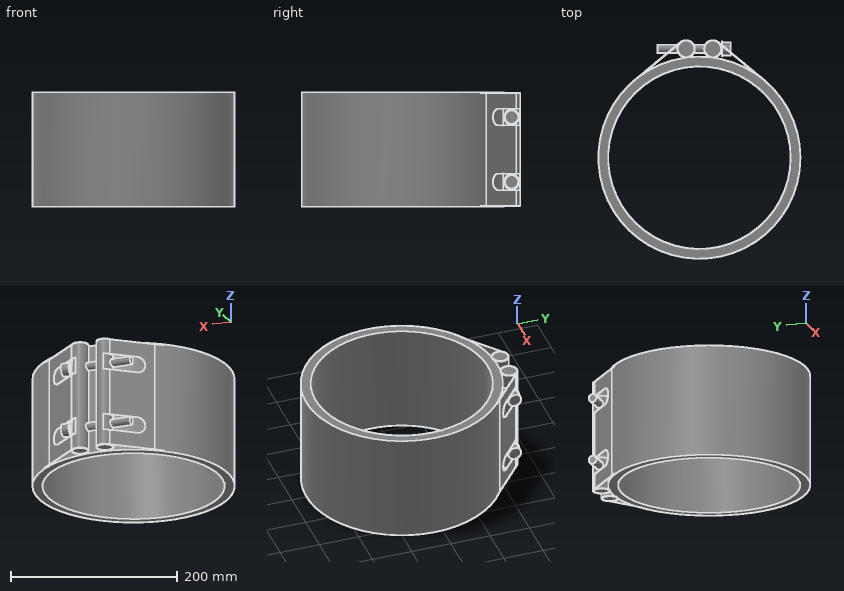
import cadquery as cq
import math

RING_OUTER_RADIUS = 243.3 / 2
RING_INNER_RADIUS = 219.0 / 2
RING_HEIGHT = 138.0
OVERALL_DEPTH = 263.0

PIN_RADIUS = 20.0 / 2
PIN_HEIGHT = 136.8
PIN_OFFSET = 16.0
STRAP_THICKNESS = 0.5
STRAP_HEIGHT = 135.5
WRAP_RADIUS = PIN_RADIUS + STRAP_THICKNESS
PIN_Y = OVERALL_DEPTH - RING_OUTER_RADIUS - WRAP_RADIUS

SLOT_WIDTH = 20.0
SLOT_ABOVE_TANGENT = 4.7
SLOT_TIP_Y = 108.5

BOLT_SPACING = 77.8
BOLT_RADIUS = 10.0 / 2
BOLT_START_X = -50.5
WASHER_RADIUS = 18.0 / 2
WASHER_START_X = PIN_OFFSET + WRAP_RADIUS
WASHER_THICKNESS = 1.0
HEAD_RADIUS = 16.0 / 2
HEAD_LENGTH = 10.3

pin_distance = math.hypot(PIN_OFFSET, PIN_Y)
strap_tilt = math.atan2(PIN_OFFSET, PIN_Y) + math.acos((RING_OUTER_RADIUS - WRAP_RADIUS) / pin_distance)
NORMAL = cq.Vector(math.sin(strap_tilt), math.cos(strap_tilt), 0)
ALONG = cq.Vector(-math.cos(strap_tilt), math.sin(strap_tilt), 0)
RING_TANGENT = NORMAL * RING_OUTER_RADIUS
PIN_TANGENT = cq.Vector(PIN_OFFSET, PIN_Y, 0) + NORMAL * WRAP_RADIUS


def upright_cylinder(x, y, radius, height):
    """Vertical cylinder centred on the mid-height plane."""
    return cq.Workplane("XY").center(x, y).circle(radius).extrude(height / 2, both=True)


def strap_slot(z):
    """Cutter across the strap: rounded at the ring end, square at the pin end."""
    radius = SLOT_WIDTH / 2
    top = SLOT_ABOVE_TANGENT
    tip = (SLOT_TIP_Y - PIN_TANGENT.y) / ALONG.y
    round_start = tip + radius
    depth = 2 * WRAP_RADIUS
    plane = cq.Plane(origin=PIN_TANGENT + cq.Vector(0, 0, z), xDir=ALONG, normal=NORMAL)
    return (
        cq.Workplane(plane)
        .moveTo(top, -radius)
        .lineTo(round_start, -radius)
        .threePointArc((tip, 0), (round_start, radius))
        .lineTo(top, radius)
        .close()
        .extrude(depth, both=True)
    )


def strap_end():
    """Strap on the +X side: flat run off the ring plus the wrap around the pin."""
    inward = NORMAL * -STRAP_THICKNESS
    corners = [RING_TANGENT, PIN_TANGENT, PIN_TANGENT + inward, RING_TANGENT + inward]
    flat = (
        cq.Workplane("XY")
        .polyline([(p.x, p.y) for p in corners])
        .close()
        .extrude(STRAP_HEIGHT / 2, both=True)
    )
    strap = flat.union(upright_cylinder(PIN_OFFSET, PIN_Y, WRAP_RADIUS, STRAP_HEIGHT))
    strap = strap.cut(upright_cylinder(PIN_OFFSET, PIN_Y, PIN_RADIUS, STRAP_HEIGHT))
    for z in (-BOLT_SPACING / 2, BOLT_SPACING / 2):
        strap = strap.cut(strap_slot(z))
    return strap


def bolt(z):
    """Bolt with shank, washer and round head, stacked along +X."""
    def section(start_x, radius, length):
        plane = cq.Plane(origin=(start_x, PIN_Y, z), xDir=(0, 1, 0), normal=(1, 0, 0))
        return cq.Workplane(plane).circle(radius).extrude(length)

    shank = section(BOLT_START_X, BOLT_RADIUS, WASHER_START_X - BOLT_START_X)
    washer = section(WASHER_START_X, WASHER_RADIUS, WASHER_THICKNESS)
    head = section(WASHER_START_X + WASHER_THICKNESS, HEAD_RADIUS, HEAD_LENGTH)
    return shank.union(washer).union(head)


right_strap = strap_end()
result = upright_cylinder(0, 0, RING_OUTER_RADIUS, RING_HEIGHT)
result = result.cut(upright_cylinder(0, 0, RING_INNER_RADIUS, RING_HEIGHT))
result = result.union(right_strap).union(right_strap.mirror("YZ"))
for pin_x in (-PIN_OFFSET, PIN_OFFSET):
    result = result.union(upright_cylinder(pin_x, PIN_Y, PIN_RADIUS, PIN_HEIGHT))
for bolt_z in (-BOLT_SPACING / 2, BOLT_SPACING / 2):
    result = result.union(bolt(bolt_z))